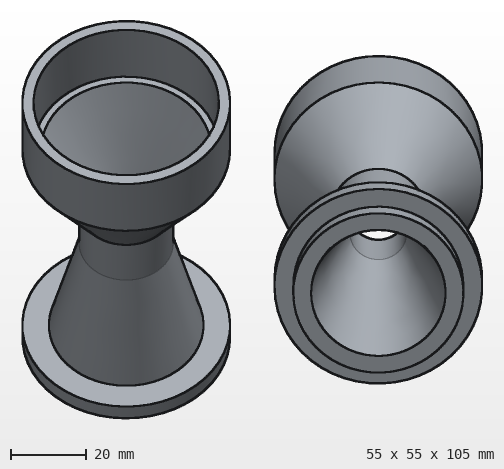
import cadquery as cq

total_height = 105.0
outer_diameter = 55.0

spigot_height = 5.0
flange_thickness = 5.0
neck_height = 15.0
funnel_height = 25.0
cup_depth = 20.0

spigot_diameter = 45.0
diffuser_base_diameter = 41.0
neck_diameter = 25.0
cup_bore_diameter = 49.0
funnel_mouth_diameter = spigot_diameter
throat_diameter = 15.0

flange_top = spigot_height + flange_thickness
cup_floor = total_height - cup_depth
neck_top = cup_floor - funnel_height
neck_bottom = neck_top - neck_height

outer_radius = outer_diameter / 2
spigot_radius = spigot_diameter / 2
diffuser_base_radius = diffuser_base_diameter / 2
neck_radius = neck_diameter / 2
cup_bore_radius = cup_bore_diameter / 2
throat_radius = throat_diameter / 2
funnel_mouth_radius = funnel_mouth_diameter / 2

diffuser_slope = (diffuser_base_radius - neck_radius) / (neck_bottom - flange_top)
outlet_radius = throat_radius + diffuser_slope * neck_bottom


def revolve_about_z(profile):
    """Revolve a closed (radius, height) outline around the Z axis."""
    return cq.Workplane("XZ").polyline(profile).close().revolve(360, (0, 0, 0), (0, 1, 0))


outer_outline = [
    (spigot_radius, 0),
    (spigot_radius, spigot_height),
    (outer_radius, spigot_height),
    (outer_radius, flange_top),
    (diffuser_base_radius, flange_top),
    (neck_radius, neck_bottom),
    (neck_radius, neck_top),
    (outer_radius, cup_floor),
    (outer_radius, total_height),
]
passage_outline = [
    (cup_bore_radius, total_height),
    (cup_bore_radius, cup_floor),
    (funnel_mouth_radius, cup_floor),
    (throat_radius, neck_top),
    (throat_radius, neck_bottom),
    (outlet_radius, 0),
]

result = revolve_about_z(outer_outline + passage_outline)